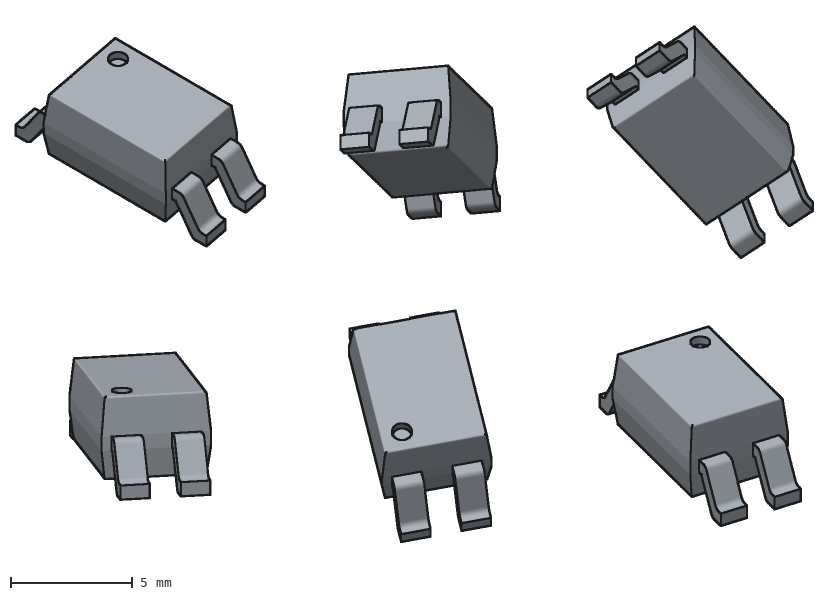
import cadquery as cq
import math

overall_length = 10.16
overall_height = 3.85

body_length = 6.51
body_width = 4.6
body_bottom = 0.34
face_inset = 0.16
edge_radius = 0.08

marker_diameter = 0.81
marker_depth = 0.4
marker_x = -2.2
marker_y = 1.24

lead_thickness = 0.61
lead_width = 1.24
lead_pitch = 2.54
lead_top = 2.2
lead_slope = 60.0
foot_top_length = 0.37
top_bend_radius = 0.3
heel_radius = 0.3

band_top = lead_top
band_bottom = lead_top - lead_thickness


def tapered_half(height):
    """Loft from the band outline at Z = 0 to the smaller end face."""
    return (
        cq.Workplane("XY")
        .rect(body_length, body_width)
        .workplane(offset=height)
        .rect(body_length - 2 * face_inset, body_width - 2 * face_inset)
        .loft(ruled=True, combine=True)
    )


def make_housing():
    band = (
        cq.Workplane("XY", origin=(0, 0, band_bottom))
        .rect(body_length, body_width)
        .extrude(lead_thickness)
    )
    upper = tapered_half(overall_height - band_top).faces(">Z").edges().fillet(edge_radius)
    lower = (
        tapered_half(band_bottom - body_bottom)
        .faces(">Z").edges().fillet(edge_radius)
        .rotate((0, 0, 0), (1, 0, 0), 180)
    )
    body = (
        band
        .union(upper.translate((0, 0, band_top)))
        .union(lower.translate((0, 0, band_bottom)))
    )
    marker = (
        cq.Workplane("XY", origin=(marker_x, marker_y, overall_height - marker_depth))
        .circle(marker_diameter / 2)
        .extrude(marker_depth)
    )
    return body.cut(marker)


def make_lead(y_center):
    """One lead on the -X side, butting against the housing band."""
    tip_x = -overall_length / 2
    root_x = -body_length / 2
    slope_run = band_bottom / math.tan(math.radians(lead_slope))
    bend_shift = lead_thickness * math.tan(math.radians(lead_slope / 2))

    foot_bend_x = tip_x + foot_top_length
    shoulder_bend_x = foot_bend_x + slope_run
    heel_x = foot_bend_x + bend_shift
    armpit_x = shoulder_bend_x + bend_shift

    lead = (
        cq.Workplane("XZ", origin=(0, y_center + lead_width / 2, 0))
        .moveTo(tip_x, 0)
        .lineTo(heel_x, 0)
        .lineTo(armpit_x, band_bottom)
        .lineTo(root_x, band_bottom)
        .lineTo(root_x, lead_top)
        .lineTo(shoulder_bend_x, lead_top)
        .lineTo(foot_bend_x, lead_thickness)
        .lineTo(tip_x, lead_thickness)
        .close()
        .extrude(lead_width)
    )
    foot_bend = cq.selectors.NearestToPointSelector((foot_bend_x, y_center, lead_thickness))
    shoulder_bend = cq.selectors.NearestToPointSelector((shoulder_bend_x, y_center, lead_top))
    heel = cq.selectors.NearestToPointSelector((heel_x, y_center, 0))
    return (
        lead
        .edges(foot_bend).fillet(top_bend_radius)
        .edges(shoulder_bend).fillet(top_bend_radius)
        .edges(heel).fillet(heel_radius)
    )


housing = make_housing()

leads = []
for y_center in (-lead_pitch / 2, lead_pitch / 2):
    lead = make_lead(y_center)
    leads.append(lead.val())
    leads.append(lead.mirror("YZ").val())

result = cq.Compound.makeCompound([housing.val(), *leads])